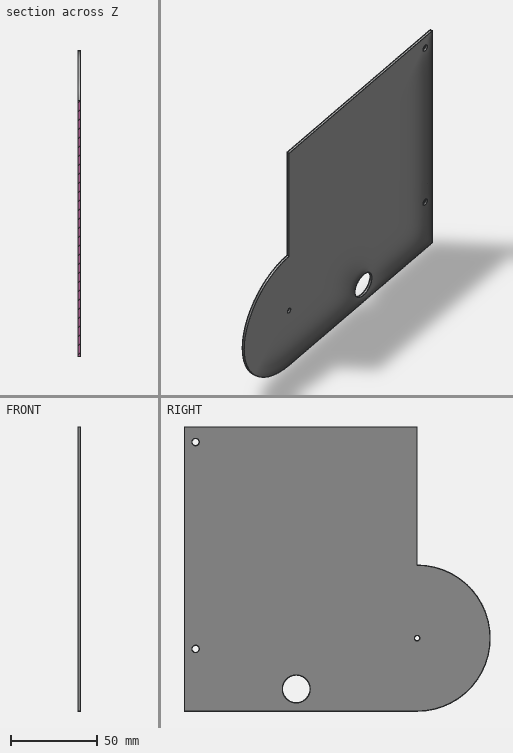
import cadquery as cq

thickness = 1.5
length = 177.5
height = 165.0

lobe_radius = 42.5
lobe_center_y = length - lobe_radius
lobe_center_z = lobe_radius

pivot_diameter = 3.0

mount_diameter = 4.0
mount_edge_offset = 6.5
mount_top_offset = 8.9
mount_spacing = 120.0
upper_mount_z = height - mount_top_offset

opening_diameter = 16.0
opening_y = 65.0
opening_z = 13.0


def through_hole(diameter, y, z):
    """Cylinder that cuts through the plate along X."""
    return cq.Workplane("YZ").center(y, z).circle(diameter / 2).extrude(thickness)


plate = (
    cq.Workplane("YZ")
    .lineTo(lobe_center_y, 0)
    .threePointArc((length, lobe_center_z), (lobe_center_y, 2 * lobe_radius))
    .lineTo(lobe_center_y, height)
    .lineTo(0, height)
    .close()
    .extrude(thickness)
)

plate = plate.cut(through_hole(pivot_diameter, lobe_center_y, lobe_center_z))

for mount_z in (upper_mount_z, upper_mount_z - mount_spacing):
    plate = plate.cut(through_hole(mount_diameter, mount_edge_offset, mount_z))

result = plate.cut(through_hole(opening_diameter, opening_y, opening_z))